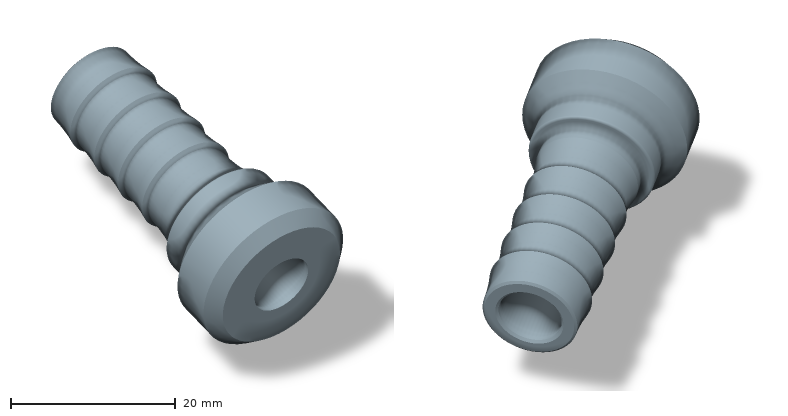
import cadquery as cq
import math

length = 40.0
bore_radius = 4.0
bore_chamfer = 0.3

barb_pitch = 5.0
barb_count = 4
root_radius = 6.0
crest_radius = 6.5
barb_step = crest_radius - root_radius
tip_chamfer_length = 0.25
tip_chamfer_depth = 0.3
neck_start = 25.0

collar_radius = 8.0
collar_start = 27.0
collar_end = 30.1
foot_fillet = 0.8
rim_fillet = 0.3

head_radius = 10.45
head_chamfer = 1.7
cone_end = 32.9
cone_fillet = 0.8
cone_angle = math.radians(45)


def add_hollow_flank(profile, start, end):
    """Rise from root to crest along an arc that starts parallel to the axis."""
    run = end[0] - start[0]
    rise = end[1] - start[1]
    arc_radius = (run**2 + rise**2) / (2 * rise)
    half_run = run / 2
    half_rise = arc_radius - math.sqrt(arc_radius**2 - half_run**2)
    middle = (start[0] + half_run, start[1] + half_rise)
    return profile.threePointArc(middle, end)


def add_barbs(profile):
    """Add the barbs and the last flank, which runs out into the neck."""
    flank_start = tip_chamfer_length
    for barb in range(1, barb_count + 1):
        crest = barb * barb_pitch
        profile = add_hollow_flank(profile, (flank_start, root_radius), (crest, crest_radius))
        flank_start = crest + barb_step
        profile = profile.lineTo(flank_start, root_radius)
    return add_hollow_flank(profile, (flank_start, root_radius), (neck_start, crest_radius))


def add_collar(profile):
    """Add the neck, the filleted shoulder and the collar."""
    diagonal = math.sqrt(0.5)
    foot_center = (collar_start - foot_fillet, crest_radius + foot_fillet)
    rim_center = (collar_start + rim_fillet, collar_radius - rim_fillet)
    foot_middle = (
        foot_center[0] + foot_fillet * diagonal,
        foot_center[1] - foot_fillet * diagonal,
    )
    rim_middle = (
        rim_center[0] - rim_fillet * diagonal,
        rim_center[1] + rim_fillet * diagonal,
    )
    return (
        profile.lineTo(foot_center[0], crest_radius)
        .threePointArc(foot_middle, (collar_start, foot_center[1]))
        .lineTo(collar_start, rim_center[1])
        .threePointArc(rim_middle, (rim_center[0], collar_radius))
        .lineTo(collar_end, collar_radius)
    )


def add_head(profile):
    """Add the filleted cone, the head and its end chamfer."""
    fillet_end = (
        collar_end + cone_fillet * math.sin(cone_angle),
        collar_radius + cone_fillet * (1 - math.cos(cone_angle)),
    )
    fillet_middle = (
        collar_end + cone_fillet * math.sin(cone_angle / 2),
        collar_radius + cone_fillet * (1 - math.cos(cone_angle / 2)),
    )
    return (
        profile.threePointArc(fillet_middle, fillet_end)
        .lineTo(cone_end, head_radius)
        .lineTo(length - head_chamfer, head_radius)
        .lineTo(length, head_radius - head_chamfer)
    )


section = (
    cq.Workplane("XY")
    .moveTo(bore_chamfer, bore_radius)
    .lineTo(0, bore_radius + bore_chamfer)
    .lineTo(0, root_radius - tip_chamfer_depth)
    .lineTo(tip_chamfer_length, root_radius)
)
section = add_barbs(section)
section = add_collar(section)
section = add_head(section)
section = section.lineTo(length, bore_radius).close()

result = section.revolve(360, (0, 0, 0), (1, 0, 0))